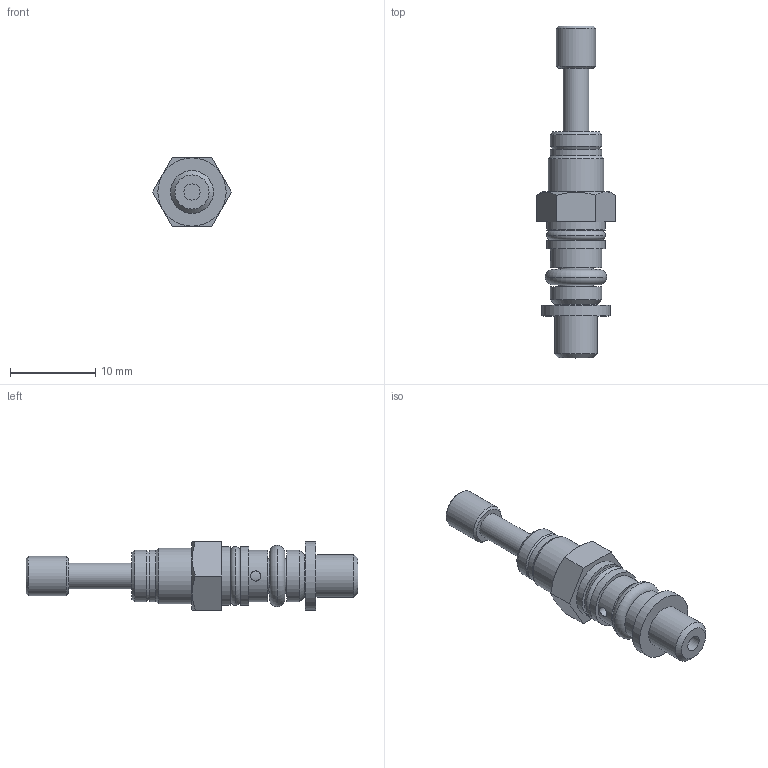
import cadquery as cq
import math


spigot_radius = 2.5
spigot_chamfer = 0.5
flange_radius = 4.0
flange_front = 4.92
flange_back = 6.15

nose_radius = 3.0
nose_start = 6.3
nose_chamfer = 0.5

large_ring_center = 9.47
large_ring_section_radius = 0.9
large_ring_outer_radius = 3.6
large_groove_width = 2.2
large_groove_radius = 2.05

collar_radius = 3.45
collar_front = 12.8
small_ring_center = 14.37
small_ring_section_radius = 0.55
small_ring_outer_radius = 3.45
small_groove_width = 1.25
small_groove_radius = 2.6

hex_across_flats = 8.0
hex_front = 15.95
hex_back = 19.48
hex_face_radius = 3.9
hex_chamfer_angle = 30.0

barrel_radius = 3.25
barrel_end = 23.35
barrel_chamfer_length = 0.35
rear_radius = 3.0
undercut_front = 24.45
undercut_back = 24.78
undercut_depth = 0.2
rear_end = 26.52
rear_chamfer_length = 0.35
rear_face_radius = 2.75

rod_radius = 1.5
button_radius = 2.3
button_front = 33.92
button_chamfer = 0.25
total_length = 38.9

bore_radius = 0.95
bore_depth = 10.0
side_hole_radius = 0.6
side_hole_center = 11.98
core_radius = large_groove_radius


def cylinder(radius, start, end):
    """Cylinder on the Y axis between two stations."""
    return cq.Workplane("XZ", origin=(0, start, 0)).circle(radius).extrude(start - end)


def turned(points):
    """Solid of revolution about Y from (radius, station) points."""
    return cq.Workplane("XY").polyline(points).close().revolve(360, (0, 0, 0), (0, 1, 0))


def groove(center, width, floor_radius):
    """Ring-shaped cutter for a rectangular groove."""
    front = center - width / 2
    back = center + width / 2
    return cylinder(flange_radius, front, back).cut(cylinder(floor_radius, front, back))


def o_ring(center, section_radius, outer_radius):
    """Torus about the Y axis."""
    center_radius = outer_radius - section_radius
    return cq.Workplane(
        cq.Solid.makeTorus(center_radius, section_radius, cq.Vector(0, center, 0), cq.Vector(0, 1, 0))
    )


def make_spigot():
    spigot = cylinder(spigot_radius, 0, nose_start).faces("<Y").chamfer(spigot_chamfer)
    return spigot.union(cylinder(flange_radius, flange_front, flange_back))


def make_front_body():
    nose = cylinder(nose_radius, nose_start, collar_front).faces("<Y").chamfer(nose_chamfer)
    body = nose.union(cylinder(collar_radius, collar_front, hex_front))
    body = body.cut(groove(large_ring_center, large_groove_width, large_groove_radius))
    body = body.cut(groove(small_ring_center, small_groove_width, small_groove_radius))
    body = body.union(o_ring(large_ring_center, large_ring_section_radius, large_ring_outer_radius))
    return body.union(o_ring(small_ring_center, small_ring_section_radius, small_ring_outer_radius))


def make_hexagon():
    corner_radius = hex_across_flats / math.sqrt(3)
    prism = (
        cq.Workplane("XZ", origin=(0, hex_front, 0))
        .polygon(6, 2 * corner_radius)
        .extrude(hex_front - hex_back)
    )
    envelope_radius = 1.1 * corner_radius
    cone_length = (envelope_radius - hex_face_radius) * math.tan(math.radians(hex_chamfer_angle))
    envelope = turned([
        (0, hex_front),
        (envelope_radius, hex_front),
        (envelope_radius, hex_back - cone_length),
        (hex_face_radius, hex_back),
        (0, hex_back),
    ])
    return prism.intersect(envelope)


def make_barrel():
    return turned([
        (0, hex_back),
        (barrel_radius, hex_back),
        (barrel_radius, barrel_end),
        (rear_radius, barrel_end + barrel_chamfer_length),
        (rear_radius, undercut_front),
        (rear_radius - undercut_depth, undercut_front),
        (rear_radius, undercut_back),
        (rear_radius, rear_end - rear_chamfer_length),
        (rear_face_radius, rear_end),
        (0, rear_end),
    ])


def make_plunger():
    rod = cylinder(rod_radius, rear_end, button_front)
    button = cylinder(button_radius, button_front, total_length).faces("<Y or >Y").chamfer(button_chamfer)
    return rod.union(button)


def make_side_hole():
    """Radial cutter whose inner end is rounded to the core."""
    drill = (
        cq.Workplane("YZ")
        .center(side_hole_center, 0)
        .circle(side_hole_radius)
        .extrude(-flange_radius)
    )
    core = cylinder(core_radius, large_ring_center, hex_front)
    return drill.cut(core)


result = (
    make_spigot()
    .union(make_front_body())
    .union(make_hexagon())
    .union(make_barrel())
    .union(make_plunger())
    .cut(cylinder(bore_radius, 0, bore_depth))
    .cut(make_side_hole())
)